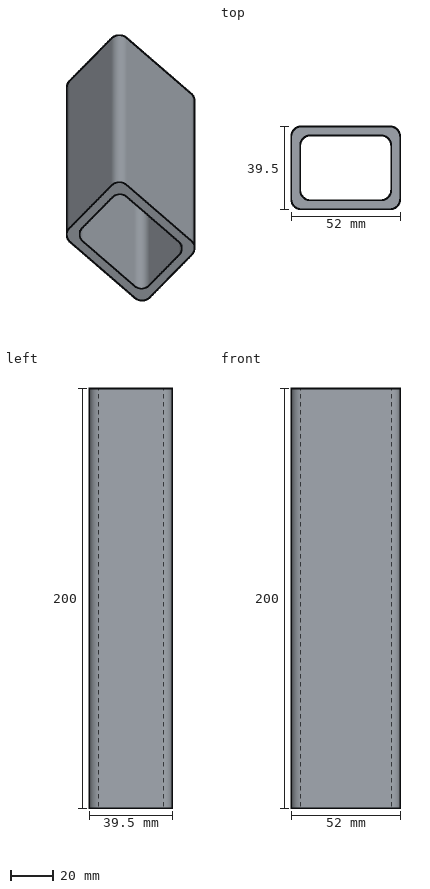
import cadquery as cq

width = 52.0
depth = 39.5
length = 200.0
wall = 4.5
outer_radius = 5.0
inner_radius = 4.8


def rounded_bar(size_x, size_y, corner_radius):
    """Full-length bar with its four upright edges rounded."""
    return cq.Workplane("XY").rect(size_x, size_y).extrude(length).edges("|Z").fillet(corner_radius)


outside = rounded_bar(width, depth, outer_radius)
bore = rounded_bar(width - 2 * wall, depth - 2 * wall, inner_radius)
result = outside.cut(bore)